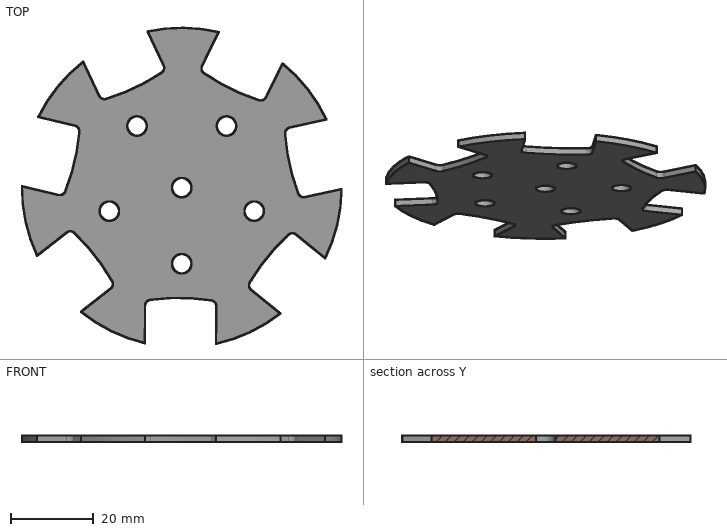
import cadquery as cq
import math

disc_radius = 38.7
thickness = 1.6

slot_count = 7
slot_width = 17.2
slot_floor_distance = 26.7
slot_floor_radius = 51.1
slot_corner_radius = 1.4
first_slot_angle = -90.5
slot_overrun = 3.9

hole_diameter = 4.65
hole_circle_radius = 18.4
circle_hole_count = 5
first_hole_angle = -90.0


def make_slot_cutter():
    """Slot cutter pointing along +X, with rounded inner corners."""
    half_width = slot_width / 2
    floor_rise = slot_floor_radius - math.sqrt(slot_floor_radius**2 - half_width**2)
    corner_x = slot_floor_distance + floor_rise
    outer_x = disc_radius + slot_overrun
    return (
        cq.Workplane("XY")
        .moveTo(outer_x, -half_width)
        .lineTo(corner_x, -half_width)
        .threePointArc((slot_floor_distance, 0), (corner_x, half_width))
        .lineTo(outer_x, half_width)
        .close()
        .extrude(thickness)
        .edges("|Z and (not >X)")
        .fillet(slot_corner_radius)
    )


def cut_slots(disc):
    cutter = make_slot_cutter()
    for index in range(slot_count):
        angle = first_slot_angle + index * 360 / slot_count
        disc = disc.cut(cutter.rotate((0, 0, 0), (0, 0, 1), angle))
    return disc


def cut_holes(disc):
    return (
        disc.faces(">Z")
        .workplane(origin=(0, 0, thickness))
        .polarArray(hole_circle_radius, first_hole_angle, 360, circle_hole_count)
        .hole(hole_diameter)
        .faces(">Z")
        .workplane(origin=(0, 0, thickness))
        .hole(hole_diameter)
    )


disc = cq.Workplane("XY").circle(disc_radius).extrude(thickness)
result = cut_holes(cut_slots(disc))